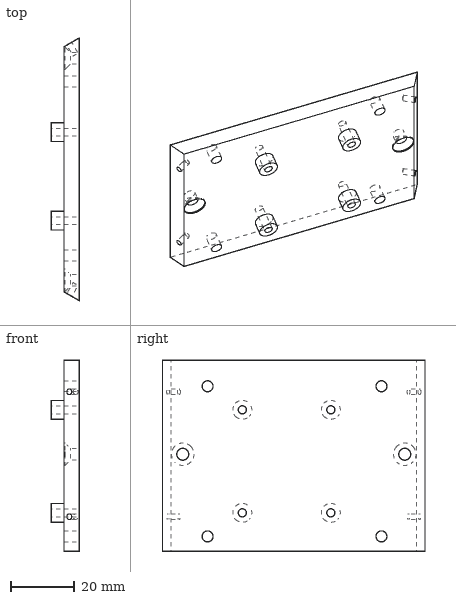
import cadquery as cq
import math

plate_length = 83.2
plate_height = 60.5
plate_thickness = 4.9
bevel_angle = 30.0
bevel_inset = plate_thickness * math.tan(math.radians(bevel_angle))

boss_height = 4.0
boss_diameter = 6.0
boss_bore_diameter = 2.5
boss_spacing_y = 28.0
boss_spacing_z = 32.6
boss_center_y = -2.27

mount_diameter = 3.4
mount_spacing_y = 55.0
mount_spacing_z = 47.5
mount_center_y = 0.25

pattern_center_z = -1.75

screw_diameter = 3.7
screw_head_diameter = 7.09
screw_head_angle = 90.0
screw_head_land = 0.4
screw_spacing_y = 70.25

pilot_diameter = 1.8
pilot_spacing_z = 39.5
pilot_depth = 4.0
pilot_edge_distance = 2.0

screw_center_z = 0.5


def grid(center_y, center_z, spacing_y, spacing_z):
    """Four (y, z) corners of a rectangular pattern."""
    return [
        (center_y + side_y * spacing_y / 2, center_z + side_z * spacing_z / 2)
        for side_y in (-1, 1)
        for side_z in (-1, 1)
    ]


def make_plate():
    """Trapezoidal plate with its shorter face at X = 0."""
    half_long = plate_length / 2
    half_short = half_long - bevel_inset
    outline = [
        (0, -half_short),
        (plate_thickness, -half_long),
        (plate_thickness, half_long),
        (0, half_short),
    ]
    return cq.Workplane("XY").polyline(outline).close().extrude(plate_height / 2, both=True)


def add_bosses(body):
    """Four round standoffs, bored through the plate."""
    points = grid(boss_center_y, pattern_center_z, boss_spacing_y, boss_spacing_z)
    bosses = cq.Workplane("YZ").pushPoints(points).circle(boss_diameter / 2).extrude(-boss_height)
    bores = (
        cq.Workplane("YZ", origin=(-boss_height, 0, 0))
        .pushPoints(points)
        .circle(boss_bore_diameter / 2)
        .extrude(boss_height + plate_thickness)
    )
    return body.union(bosses).cut(bores)


def cut_mount_holes(body):
    """Four plain through holes."""
    points = grid(mount_center_y, pattern_center_z, mount_spacing_y, mount_spacing_z)
    holes = cq.Workplane("YZ").pushPoints(points).circle(mount_diameter / 2).extrude(plate_thickness)
    return body.cut(holes)


def cut_screw_holes(body):
    """Two through holes, countersunk from the X = 0 face."""
    shank_radius = screw_diameter / 2
    head_radius = screw_head_diameter / 2
    cone_depth = (head_radius - shank_radius) / math.tan(math.radians(screw_head_angle / 2))
    profile = [
        (0, 0),
        (0, head_radius),
        (screw_head_land, head_radius),
        (screw_head_land + cone_depth, shank_radius),
        (plate_thickness, shank_radius),
        (plate_thickness, 0),
    ]
    cutter = cq.Workplane("XY").polyline(profile).close().revolve(360, (0, 0, 0), (1, 0, 0))
    for side in (-1, 1):
        body = body.cut(cutter.translate((0, side * screw_spacing_y / 2, screw_center_z)))
    return body


def cut_pilot_holes(body):
    """Two blind holes in each end, square to the bevel."""
    sin_bevel = math.sin(math.radians(bevel_angle))
    cos_bevel = math.cos(math.radians(bevel_angle))
    mouth_x = pilot_edge_distance * cos_bevel
    mouth_y = plate_length / 2 - bevel_inset + pilot_edge_distance * sin_bevel
    for side_y in (-1, 1):
        inward = cq.Vector(sin_bevel, -side_y * cos_bevel, 0)
        for side_z in (-1, 1):
            mouth_z = screw_center_z + side_z * pilot_spacing_z / 2
            mouth = cq.Vector(mouth_x, side_y * mouth_y, mouth_z)
            hole = cq.Solid.makeCylinder(pilot_diameter / 2, pilot_depth, mouth, inward)
            body = body.cut(cq.Workplane(hole))
    return body


result = make_plate()
result = add_bosses(result)
result = cut_mount_holes(result)
result = cut_screw_holes(result)
result = cut_pilot_holes(result)